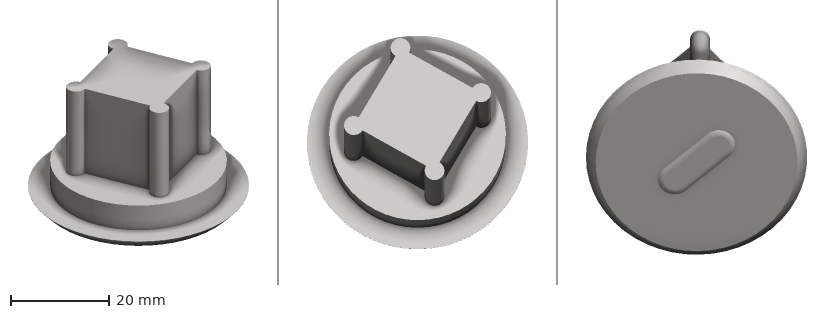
import cadquery as cq

flange_diameter = 45.05
total_height = 28.45

pad_height = 0.4
rim_height = 0.1
bevel_height = 2.1
bevel_run = 2.0
disc_diameter = 36.0
disc_height = 5.8

post_side = 18.95
pin_diameter = 4.0

pad_length = 20.35
pad_width = 8.3
pad_edge_radius = 2.0
pad_sunk_depth = 1.8

flange_height = bevel_height + rim_height
disc_bottom = pad_height + flange_height
post_bottom = disc_bottom + disc_height
post_height = total_height - post_bottom


def make_flange():
    """Round flange with a thin rim above a conical bevel."""
    radius = flange_diameter / 2
    half_profile = (
        cq.Workplane("XZ")
        .moveTo(0, pad_height)
        .lineTo(radius - bevel_run, pad_height)
        .lineTo(radius, pad_height + bevel_height)
        .lineTo(radius, disc_bottom)
        .lineTo(0, disc_bottom)
        .close()
    )
    return half_profile.revolve(360, (0, 0, 0), (0, 1, 0))


def make_disc():
    return cq.Workplane("XY").workplane(offset=disc_bottom).circle(disc_diameter / 2).extrude(disc_height)


def make_post():
    """Square post together with its four corner pins."""
    base = cq.Workplane("XY").workplane(offset=post_bottom)
    post = base.rect(post_side, post_side).extrude(post_height)
    corners = base.rect(post_side, post_side, forConstruction=True).vertices()
    return post.union(corners.circle(pin_diameter / 2).extrude(post_height))


def make_pad():
    """Slot-shaped pad with a rounded lower edge."""
    pad = cq.Workplane("XY").slot2D(pad_length, pad_width).extrude(pad_height + pad_sunk_depth)
    return pad.faces("<Z").edges().fillet(pad_edge_radius)


result = make_flange().union(make_disc()).union(make_post()).union(make_pad())